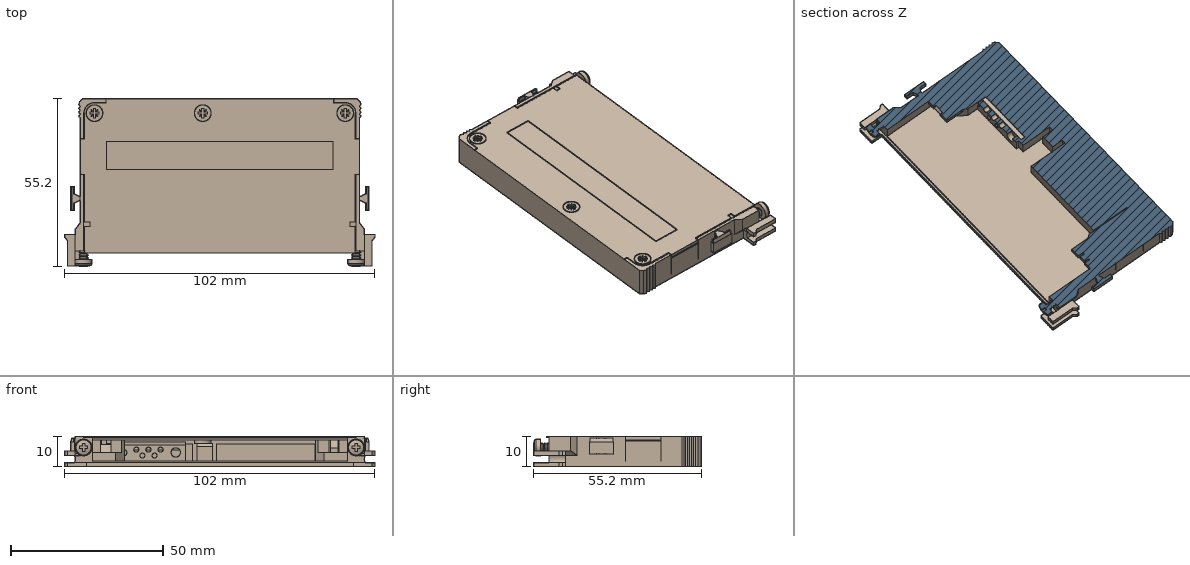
import cadquery as cq


height = 10.0
overall_half_width = 51.0
overall_length = 55.2
body_half_width = 45.9
body_front = -50.1
lid_front = -50.8
lid_half_width = 44.5
lid_thickness = 0.4
plate_thickness = 1.3

corner_setback = 0.8
corner_point = (-46.1, -1.0)
ridge_count = 4
ridge_pitch = 1.28
ridge_height = 0.5
first_ridge = -1.9

post_half_width = 47.5
post_inner = 41.9
flare_start = -40.8
flare_end = -42.9
rail_start = -44.7
rail_half_width = 50.1
rail_front = -55.1
rail_tip_flat = 0.9
rail_tip_length = 2.0
upper_rail_bottom = 3.7
upper_rail_top = 5.2
lower_rail_inner = 43.9
groove_depth = 0.3

floor_z = 1.8
mouth_ceiling = 9.4
ceiling_z = 8.8
mouth_depth = 1.5
cavity_back = -8.2
funnel_start = -28.6
funnel_end = -24.5
funnel_front_half_width = 34.3
funnel_back_half_width = 31.4
panel_right = -11.2
fitting_top = 7.4

hanger_inner = 32.3
hanger_bottom = 4.6
hanger_front = -32.6
notch_outer = 39.2
notch_inner = 35.8
notch_depth = 2.0
latch_setback = 0.3
left_ramp_bottom = 4.7
left_ramp_top = 7.3
right_latch_inner = 36.3
right_latch_outer = 38.9
right_ramp_bottom = 6.1

seam_width = 0.06
seam_depth = 0.2
side_gap_outer = 44.8
side_gap_inner = lid_half_width
tab_back = -13.3
tab_front = -25.0
lid_screw_x = 41.2
lid_screw_y = -4.8
middle_screw_x = -5.6
lid_screw_diameter = 5.5
lid_recess_length = 3.1
lid_recess_width = 0.7
lid_recess_depth = 0.8
tick_width = 0.2
corner_seam_radius = 3.5
corner_seam_end = 37.4
slot_end = 42.7
slot_back = -40.6
slot_front = -42.0
label_half_width = 37.2
label_back = -14.1
label_front = -23.3
label_depth = 0.3

front_screw_x = 44.8
front_screw_z = 6.3
head_diameter = 5.5
head_back = -52.8
head_rim = -54.3
dome_rim = -54.8
tip_flat_radius = 0.9
dome_diameter = 5.0
thread_diameter = 3.1
core_diameter = 2.1
thread_turns = 3
front_recess_length = 2.5
front_recess_width = 0.8
front_recess_depth = 1.2


def block(x0, x1, y0, y1, z0, z1):
    """Box given by its opposite corners."""
    return cq.Workplane("XY").box(x1 - x0, y1 - y0, z1 - z0, centered=False).translate((x0, y0, z0))


def both_sides(shape):
    """The shape together with its mirror image across the middle plane X = 0."""
    return shape.union(shape.mirror("YZ"))


def prism(points, z0, z1):
    """Upright prism over a plan outline."""
    return cq.Workplane("XY").workplane(offset=z0).polyline(points).close().extrude(z1 - z0)


def cross_cutter(arm_length, arm_width, depth):
    """Cross recess centred at the origin, reaching depth below Z = 0."""
    arm = cq.Workplane("XY").rect(arm_length, arm_width).extrude(-depth)
    return arm.union(arm.rotate((0, 0, 0), (0, 0, 1), 90))


def make_body():
    """Main slab with serrated back corners, the thin lid lip and the base plate lip."""
    left = [(-body_half_width + corner_setback, 0), corner_point]
    for i in range(ridge_count):
        peak_y = first_ridge - i * ridge_pitch
        left.append((-body_half_width - ridge_height, peak_y))
        left.append((-body_half_width, peak_y - ridge_pitch / 2))
    left.append((-body_half_width, body_front))
    right = [(-x, y) for x, y in reversed(left)]
    body = prism(left + right, 0, height)
    lid_lip = block(-lid_half_width, lid_half_width, lid_front, body_front, height - lid_thickness, height)
    base_lip = block(-lid_half_width, lid_half_width, lid_front, body_front, 0, plate_thickness)
    return body.union(lid_lip).union(base_lip)


def make_post():
    """Flare of the left side wall, sloped underneath, with a grooved foot between the rails."""
    plan = [
        (-post_inner, flare_start),
        (-body_half_width, flare_start),
        (-post_half_width, flare_end),
        (-post_half_width, body_front),
        (-post_inner, body_front),
    ]
    section = [
        (-post_inner, upper_rail_bottom),
        (-body_half_width, upper_rail_bottom),
        (-post_half_width, upper_rail_top),
        (-post_half_width, height),
        (-post_inner, height),
    ]
    bar = cq.Workplane("XZ").polyline(section).close().extrude(overall_length)
    groove_edge = -post_half_width - groove_depth
    foot = cq.Workplane("XZ", origin=(0, rail_start, 0)).moveTo(-post_inner, plate_thickness)
    foot = foot.lineTo(groove_edge, plate_thickness)
    groove_middle = (-post_half_width, (plate_thickness + upper_rail_bottom) / 2)
    foot = foot.threePointArc(groove_middle, (groove_edge, upper_rail_bottom))
    foot = foot.lineTo(-post_inner, upper_rail_bottom).close().extrude(rail_start - body_front)
    return prism(plan, 0, height).intersect(bar).union(foot)


def make_rail(inner, z0, z1):
    """Left guide rail with a pointed tip at its back end."""
    tip_y = rail_start - rail_tip_flat
    plan = [
        (-inner, rail_start),
        (-overall_half_width, rail_start),
        (-overall_half_width, tip_y),
        (-rail_half_width, rail_start - rail_tip_length),
        (-rail_half_width, rail_front),
        (-inner, rail_front),
    ]
    return prism(plan, z0, z1)


def make_side_clip():
    """T-shaped clip on the left side wall with a bevelled top."""
    outer, crown_inner, inner = 49.1, 48.1, 47.8
    back, front = -28.9, -36.8
    bottom, bevel_z, top = 4.2, 8.2, 9.4
    bevel, end_inset = 0.4, 0.2
    middle = (back + front) / 2
    flare_half, stem_half, neck_x = 1.5, 0.8, 46.4
    crown_section = [
        (-outer, bevel_z),
        (-outer + bevel, top),
        (-crown_inner, top),
        (-crown_inner, bevel_z),
    ]
    crown_length = back - front - 2 * end_inset
    crown = cq.Workplane("XZ", origin=(0, back - end_inset, 0)).polyline(crown_section).close()
    plate = block(-outer, -inner, front, back, bottom, bevel_z).union(crown.extrude(crown_length))
    stem_plan = [
        (-crown_inner, middle + flare_half),
        (-inner, middle + flare_half),
        (-neck_x, middle + stem_half),
        (-body_half_width, middle + stem_half),
        (-body_half_width, middle - stem_half),
        (-neck_x, middle - stem_half),
        (-inner, middle - flare_half),
        (-crown_inner, middle - flare_half),
    ]
    return plate.union(prism(stem_plan, bottom, top))


def make_cavity():
    """Hollow open to the front, narrowing through slanted walls towards the back."""
    half_plan = [
        (-post_inner, body_front),
        (-post_inner, funnel_start),
        (-funnel_front_half_width, funnel_start),
        (-funnel_back_half_width, funnel_end),
        (-funnel_back_half_width, cavity_back),
    ]
    plan = half_plan + [(-x, y) for x, y in reversed(half_plan)]
    cavity = prism(plan, floor_z, ceiling_z)
    mouth = block(-post_inner, post_inner, body_front, body_front + mouth_depth, floor_z, mouth_ceiling)
    return cavity.union(mouth)


def make_notched_block():
    """Block hanging from the ceiling at the left of the cavity, notched for a latch."""
    hanger = block(-post_inner, -hanger_inner, hanger_front, funnel_end, hanger_bottom, ceiling_z)
    notch_back = hanger_front + notch_depth
    return hanger.cut(block(-notch_outer, -notch_inner, hanger_front, notch_back, hanger_bottom, ceiling_z))


def make_latch(x0, x1, ramp_bottom, ramp_top):
    """Latch in a notch: a ramp rising towards the back, on an upright face."""
    back = hanger_front + notch_depth
    front = hanger_front + latch_setback
    section = [
        (back, hanger_bottom),
        (front, hanger_bottom),
        (front, ramp_bottom),
        (back, ramp_top),
    ]
    return cq.Workplane("YZ", origin=(x0, 0, 0)).polyline(section).close().extrude(x1 - x0)


def make_latch_key():
    """Stepped key over the left latch ramp, filling the top of the notch."""
    key_right, step_z, key_length, step_length, side_gap = -37.3, 7.6, 1.0, 0.7, 0.2
    back = hanger_front + notch_depth
    key = block(-notch_outer + side_gap, key_right, back - key_length, back, left_ramp_top, ceiling_z)
    return key.union(block(key_right, -notch_inner, back - step_length, back, step_z, ceiling_z))


def make_hole_panel():
    """Panel at the left of the cavity with indicator holes, a larger hole and an edge notch."""
    left, right, top, front, back = -funnel_back_half_width, panel_right, 7.1, -20.4, -18.4
    upper_z, lower_z, first_x, pitch = 5.6, 3.7, -27.4, 4.0
    small_diameter, edge_diameter, large_diameter = 1.6, 2.1, 3.1
    edge_x, edge_z = -31.6, 4.6
    large_x, large_z = -14.5, 4.7
    shelf_z, shelf_depth, back_top = 5.5, 1.5, 8.1
    panel = block(left, right, front, back, floor_z, top)
    shelf = block(left, right, back, cavity_back, floor_z, shelf_z)
    backing = block(left, right, back + shelf_depth, cavity_back, floor_z, back_top)
    upper_row = [(first_x + i * pitch, upper_z) for i in range(3)]
    lower_row = [(first_x + (i + 0.5) * pitch, lower_z) for i in range(2)]
    plane = cq.Workplane("XZ", origin=(0, back, 0))
    holes = plane.pushPoints(upper_row + lower_row).circle(small_diameter / 2).extrude(back - front)
    edge_hole = plane.center(edge_x, edge_z).circle(edge_diameter / 2).extrude(back - front)
    large_hole = plane.center(large_x, large_z).circle(large_diameter / 2).extrude(back - front)
    return panel.cut(holes).cut(large_hole).cut(edge_hole).union(shelf).union(backing)


def make_cavity_fittings():
    """Post, screw boss, bevelled block and wide connector filling the middle and right of the cavity."""
    post_right, post_front = -9.0, -19.4
    riser_left, riser_right, riser_front, riser_top, riser_bevel = -7.5, -2.3, -12.2, 7.5, 0.9
    connector_left, connector_right, connector_front = -1.1, 31.3, -22.4
    boss_bottom = 7.6
    post = block(panel_right, post_right, post_front, cavity_back, floor_z, fitting_top)
    riser = block(riser_left, riser_right, riser_front, cavity_back, floor_z, riser_top)
    riser = riser.faces("<Y").edges(">Z").chamfer(riser_bevel)
    connector = block(connector_left, connector_right, connector_front, cavity_back, floor_z, fitting_top)
    boss = cq.Workplane("XY").workplane(offset=boss_bottom).center(middle_screw_x, riser_front)
    boss = boss.circle(lid_screw_diameter / 2).extrude(ceiling_z - boss_bottom)
    return post.union(riser).union(connector).union(boss)


def make_front_screw():
    """Left captive screw: domed cross head on a ridged shank, its axis along Y."""
    tip = -overall_length
    pitch = (body_front - head_back) / thread_turns
    core, crest = core_diameter / 2, thread_diameter / 2
    head_radius, dome_radius = head_diameter / 2, dome_diameter / 2
    rim_bulge, dome_bulge, shank_embed = 0.1, 0.05, 0.5
    rim_middle = (head_rim + dome_rim) / 2
    dome_middle = (dome_rim + tip) / 2 - dome_bulge
    root_y = body_front + shank_embed
    profile = cq.Workplane("XY").moveTo(0, root_y).lineTo(core, root_y)
    for i in range(thread_turns):
        root = body_front - i * pitch
        profile = profile.lineTo(core, root).lineTo(crest, root - pitch / 2)
    profile = profile.lineTo(core, head_back).lineTo(head_radius, head_back)
    profile = profile.lineTo(head_radius, head_rim)
    profile = profile.threePointArc((head_radius - rim_bulge, rim_middle), (dome_radius, dome_rim))
    dome_shoulder = (dome_radius + tip_flat_radius) / 2
    profile = profile.threePointArc((dome_shoulder, dome_middle), (tip_flat_radius, tip))
    screw = profile.lineTo(0, tip).close().revolve(360, (0, 0, 0), (0, 1, 0))
    recess = cross_cutter(front_recess_length, front_recess_width, front_recess_depth)
    recess = recess.rotate((0, 0, 0), (1, 0, 0), 90).translate((0, tip, 0))
    return screw.cut(recess).translate((-front_screw_x, 0, front_screw_z))


def make_lid_screw_cut(x):
    """Seam ring around a flush lid screw and the cross recess with diagonal ticks in its head."""
    outer = lid_screw_diameter / 2
    ring = cq.Workplane("XY").circle(outer).circle(outer - seam_width).extrude(-seam_depth)
    ticks = cross_cutter(lid_recess_length, tick_width, seam_depth).rotate((0, 0, 0), (0, 0, 1), 45)
    recess = cross_cutter(lid_recess_length, lid_recess_width, lid_recess_depth)
    return ring.union(recess).union(ticks).translate((x, lid_screw_y, height))


def make_lid_seam():
    """Left edge of the lid: side gaps, the corner seam round the screw and a small slot."""
    z0 = height - seam_depth
    gap_z = height - lid_thickness
    back_y = lid_screw_y + corner_seam_radius
    gap_back = block(-side_gap_outer, -side_gap_inner, tab_back, lid_screw_y, gap_z, height)
    gap_front = block(-side_gap_outer, -side_gap_inner, body_front, tab_front, gap_z, height)
    cut = gap_back.union(gap_front)
    for y in (tab_back, tab_front):
        cut = cut.union(block(-body_half_width, -side_gap_inner, y, y + seam_width, z0, height))
    arc = cq.Workplane("XY").workplane(offset=z0).center(-lid_screw_x, lid_screw_y)
    arc = arc.circle(corner_seam_radius).circle(corner_seam_radius - seam_width).extrude(seam_depth)
    quarter = block(-body_half_width, -lid_screw_x, lid_screw_y, 0, z0, height)
    cut = cut.union(arc.intersect(quarter))
    seam_y = back_y - seam_width
    cut = cut.union(block(-lid_screw_x, -corner_seam_end, seam_y, back_y, z0, height))
    cut = cut.union(block(-corner_seam_end, -corner_seam_end + seam_width, seam_y, 0, z0, height))
    return cut.union(block(-side_gap_inner, -slot_end, slot_front, slot_back, gap_z, height))


def make_side_tab_seam():
    """Shallow seams that outline the lid tab on the left side wall."""
    x0, x1 = -body_half_width, -body_half_width + seam_depth
    tab_bottom, fold_z, fold_gap = 1.8, 8.5, 0.25
    cut = block(x0, x1, tab_front, tab_back, fold_z, fold_z + fold_gap)
    for y in (tab_back, tab_front):
        cut = cut.union(block(x0, x1, y, y + seam_width, tab_bottom, height))
    return cut


result = make_body()
result = result.union(both_sides(make_post()))
result = result.cut(make_cavity())
result = result.union(both_sides(make_rail(post_half_width, upper_rail_bottom, upper_rail_top)))
result = result.union(both_sides(make_rail(lower_rail_inner, 0, plate_thickness)))
result = result.union(both_sides(make_side_clip()))
result = result.union(both_sides(make_notched_block()))
result = result.union(make_latch(-notch_outer, -notch_inner, left_ramp_bottom, left_ramp_top))
result = result.union(make_latch_key())
result = result.union(make_latch(right_latch_inner, right_latch_outer, right_ramp_bottom, ceiling_z))
result = result.union(make_hole_panel())
result = result.union(make_cavity_fittings())
result = result.union(both_sides(make_front_screw()))
result = result.cut(
    block(-label_half_width, label_half_width, label_front, label_back, height - label_depth, height)
)
for screw_x in (-lid_screw_x, middle_screw_x, lid_screw_x):
    result = result.cut(make_lid_screw_cut(screw_x))
result = result.cut(both_sides(make_lid_seam()))
result = result.cut(both_sides(make_side_tab_seam()))